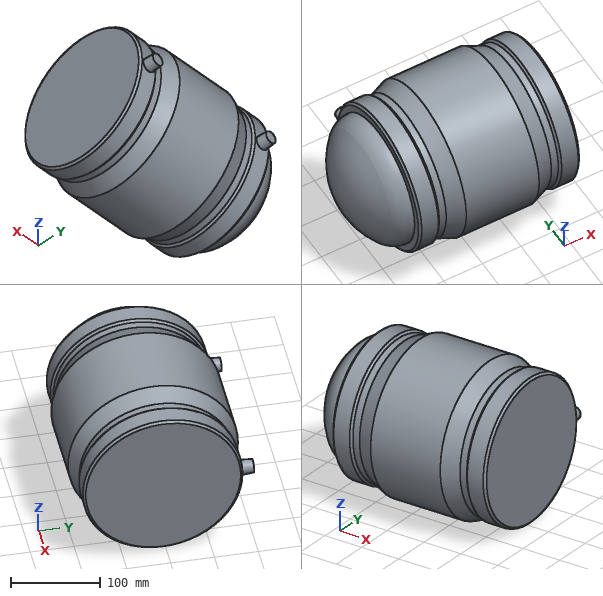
import cadquery as cq
import math

total_length = 260.36

head_diameter = 160.0
crown_radius = 100.0
knuckle_radius = 32.0

barrel_diameter = 194.0
barrel_length = 94.5
collar_diameter = 182.36
neck_diameter = 176.89
cone_length = 21.0
collar_length = 27.0

nipple_tip_height = 105.0
nipple_tip_diameter = 15.6
nipple_base_diameter = 18.0

head_radius = head_diameter / 2
barrel_radius = barrel_diameter / 2
collar_radius = collar_diameter / 2
neck_radius = neck_diameter / 2
collar_chamfer = collar_radius - neck_radius

knuckle_center_radius = head_radius - knuckle_radius
crown_center_offset = math.sqrt((crown_radius - knuckle_radius) ** 2 - knuckle_center_radius ** 2)
head_height = crown_radius - crown_center_offset
body_length = total_length - head_height
body_center_x = -body_length / 2
crown_half_angle = math.asin(knuckle_center_radius / (crown_radius - knuckle_radius))


def make_head():
    """Solid domed head closing the -X end of the body."""
    face_x = -body_length
    crown_center_x = face_x + crown_center_offset

    def on_crown(angle):
        return (crown_center_x - crown_radius * math.cos(angle), crown_radius * math.sin(angle))

    def on_knuckle(angle):
        return (
            face_x - knuckle_radius * math.cos(angle),
            knuckle_center_radius + knuckle_radius * math.sin(angle),
        )

    rim_angle = math.pi / 2
    profile = (
        cq.Workplane("XY")
        .moveTo(face_x, 0)
        .lineTo(*on_crown(0))
        .threePointArc(on_crown(crown_half_angle / 2), on_crown(crown_half_angle))
        .threePointArc(on_knuckle((crown_half_angle + rim_angle) / 2), on_knuckle(rim_angle))
        .close()
    )
    return profile.revolve(360, (0, 0, 0), (1, 0, 0))


def make_body():
    """Barrel with a cone, a neck and a chamfered collar at each end."""
    half_length = body_length / 2
    half_barrel = barrel_length / 2
    half_outline = [
        (half_barrel, barrel_radius),
        (half_barrel + cone_length, neck_radius),
        (half_length - collar_length, neck_radius),
        (half_length - collar_length + collar_chamfer, collar_radius),
        (half_length - collar_chamfer, collar_radius),
        (half_length, neck_radius),
        (half_length, 0),
    ]
    right_side = [(body_center_x + distance, radius) for distance, radius in half_outline]
    left_side = [(body_center_x - distance, radius) for distance, radius in reversed(half_outline)]
    profile = cq.Workplane("XY").polyline(left_side + right_side).close()
    return profile.revolve(360, (0, 0, 0), (1, 0, 0))


def make_nipple(center_x):
    """Tapered nipple rooted inside the collar, at the neck radius."""
    profile = (
        cq.Workplane("XY")
        .moveTo(center_x, neck_radius)
        .lineTo(center_x + nipple_base_diameter / 2, neck_radius)
        .lineTo(center_x + nipple_tip_diameter / 2, nipple_tip_height)
        .lineTo(center_x, nipple_tip_height)
        .close()
    )
    return profile.revolve(360, (center_x, 0, 0), (center_x, 1, 0))


result = make_body().union(make_head())
for side in (-1, 1):
    collar_center_x = body_center_x + side * (body_length - collar_length) / 2
    result = result.union(make_nipple(collar_center_x))